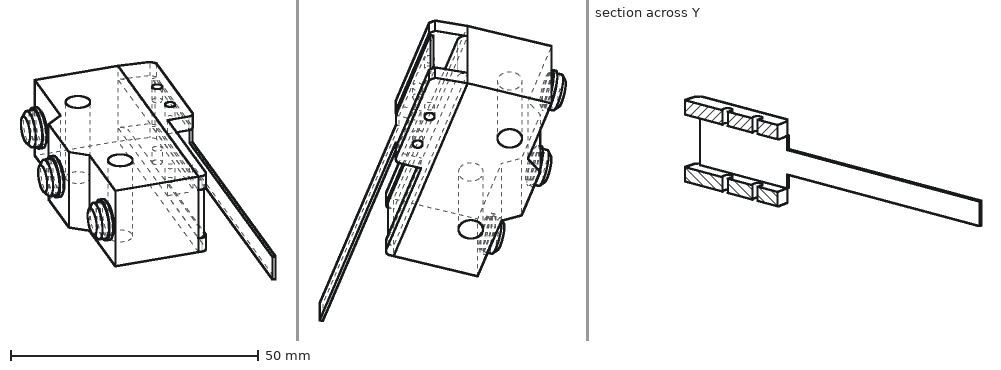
import cadquery as cq

total_length = 75.3
depth = 17.5

housing_length = 49.1
housing_top = 17.85
foot_drop = 3.5
foot_root_left, foot_root_right = 15.75, 33.35
foot_tip_left, foot_tip_right = 18.4, 30.7
mount_hole_diameter = 5.0
mount_hole_y = 5.2
mount_hole_xs = (11.6, 37.4)

plate_thickness = 3.2
plate_top = 25.5
plate_step_x = 24.8
plate_step_y = 19.8
plate_lean = 0.6
plate_corner_drop = 1.0
plate_corner_run = 1.0
plate_corner_radius = 1.2
pin_hole_diameter = 2.0
pin_hole_y = 22.45
pin_hole_xs = (10.9, 18.75)

gap = depth - 2 * plate_thickness
spacer_height = 1.65

lever_start = 1.95
lever_top = 25.15
lever_thickness = 0.7
lever_arm_width = 5.3

terminal_xs = (4.2, housing_length / 2, housing_length - 4.2)
terminal_seats = (0, -foot_drop, 0)
stem_radius = 3.55
flange_radius = 4.2
head_radius = 3.8
tip_radius = 2.8
flange_start = 0.45
flange_end = 1.2
head_end = 2.55
terminal_height = 3.5


def extrude_centred(sketch, thickness):
    """Extrude an XY outline symmetrically about the plane Z = 0."""
    return sketch.extrude(thickness / 2, both=True)


def drill_through(body, xs, y, diameter):
    """Drill a row of holes along Z through the whole depth."""
    holes = cq.Workplane("XY").pushPoints([(x, y) for x in xs]).circle(diameter / 2)
    return body.cut(extrude_centred(holes, depth))


def make_housing():
    outline = cq.Workplane("XY").polyline([
        (0, 0),
        (foot_root_left, 0),
        (foot_tip_left, -foot_drop),
        (foot_tip_right, -foot_drop),
        (foot_root_right, 0),
        (housing_length, 0),
        (housing_length, housing_top),
        (0, housing_top),
    ]).close()
    block = extrude_centred(outline, depth)
    return drill_through(block, mount_hole_xs, mount_hole_y, mount_hole_diameter)


def make_side_plate(bottom_z):
    outline = (
        cq.Workplane("XY").workplane(offset=bottom_z)
        .moveTo(0, housing_top)
        .lineTo(housing_length, housing_top)
        .lineTo(housing_length, plate_step_y - plate_corner_radius)
        .radiusArc((housing_length - plate_corner_radius, plate_step_y), -plate_corner_radius)
        .lineTo(plate_step_x, plate_step_y)
        .lineTo(plate_step_x, plate_top - plate_corner_radius)
        .radiusArc((plate_step_x - plate_corner_radius, plate_top), -plate_corner_radius)
        .lineTo(plate_lean + plate_corner_run, plate_top)
        .lineTo(plate_lean, plate_top - plate_corner_drop)
        .close()
    )
    plate = outline.extrude(plate_thickness)
    return drill_through(plate, pin_hole_xs, pin_hole_y, pin_hole_diameter)


def make_spacer():
    """Strip on the housing top, with a quarter round at each end."""
    spacer_top = housing_top + spacer_height
    outline = (
        cq.Workplane("XY")
        .moveTo(0, housing_top)
        .lineTo(housing_length, housing_top)
        .radiusArc((housing_length - spacer_height, spacer_top), -spacer_height)
        .lineTo(spacer_height, spacer_top)
        .radiusArc((0, housing_top), -spacer_height)
        .close()
    )
    return extrude_centred(outline, gap)


def make_lever_strip(start_x, end_x, width):
    """Flat strip along X, as thick as the lever and centred on Z = 0."""
    length = end_x - start_x
    middle = ((start_x + end_x) / 2, lever_top - lever_thickness / 2, 0)
    return cq.Workplane("XY").box(length, lever_thickness, width).translate(middle)


def make_lever():
    """Wide base between the side plates, carrying a narrow arm beyond them."""
    base = make_lever_strip(lever_start, plate_step_x, gap)
    arm = make_lever_strip(plate_step_x, total_length, lever_arm_width)
    return base.union(arm)


def make_terminal(x, seat_y):
    """Turned terminal pointing along -Y from its seat."""
    profile = cq.Workplane("XY").polyline([
        (0, 0),
        (stem_radius, 0),
        (stem_radius, -flange_start),
        (flange_radius, -flange_start),
        (flange_radius, -flange_end),
        (head_radius, -flange_end),
        (head_radius, -head_end),
        (tip_radius, -terminal_height),
        (0, -terminal_height),
    ]).close()
    return profile.revolve(360, (0, 0), (0, 1)).translate((x, seat_y, 0))


housing = make_housing()
side_plates = [make_side_plate(z) for z in (-depth / 2, gap / 2)]
spacer = make_spacer()
lever = make_lever()
terminals = [make_terminal(x, seat) for x, seat in zip(terminal_xs, terminal_seats)]

result = cq.Compound.makeCompound([
    housing.val(),
    *[plate.val() for plate in side_plates],
    spacer.val(),
    lever.val(),
    *[terminal.val() for terminal in terminals],
])